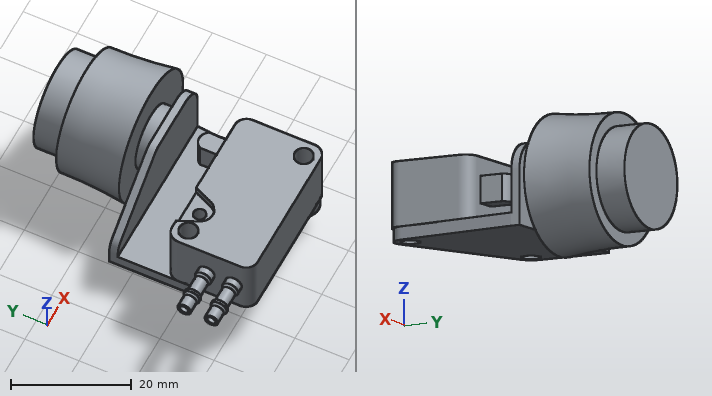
import cadquery as cq
import math


bracket_width = 29.9
bracket_depth = 26.4
base_thickness = 2.25
wall_thickness = 1.6
wall_height = 14.55
wall_left_height = 4.35
wall_slope_end = 14.6
wall_slope_radius = 3.0
wall_right_radius = 4.95
ear_radius = 2.8

housing_width = 27.85
housing_depth = 15.85
housing_height = 11.05
housing_corner_radius = 2.2
housing_top = base_thickness + housing_height
axis_height = 7.75

mount_hole_diameter = 3.3
left_hole = (ear_radius, 13.15)
right_hole = (24.95, ear_radius)

recess_x = 7.45
recess_y = 13.35
recess_radius = 2.4
recess_mouth_width = 7.5
recess_depth = 1.3
pivot_hole_diameter = 2.2

port_ys = (3.4, 8.4)
port_length = 8.4
port_collar_length = 1.35
port_ring_start = 5.05
port_ring_width = 0.55
port_taper = 0.55
port_radius = 1.2
port_collar_radius = 1.5
port_bore_radius = 0.8

plunger_x = 22.7
plunger_width = 3.53
plunger_height = 4.65
plunger_length = 5.1
plunger_crown = 1.0

knob_x = 21.0
stem_radius = 5.85
stem_length = 2.65
grip_front_diameter = 24.0
grip_front_radius = grip_front_diameter / 2
grip_back_radius = 11.2
grip_length = 12.0
grip_hollow = 0.25
cap_radius = 8.85
overall_depth = 46.4


def polar(center, radius, angle):
    """Point on a circle, with the angle in radians from +X."""
    return (center[0] + radius * math.cos(angle), center[1] + radius * math.sin(angle))


def mount_holes():
    """Cutters for both mounting holes, through base and housing."""
    return (
        cq.Workplane("XY")
        .pushPoints([left_hole, right_hole])
        .circle(mount_hole_diameter / 2)
        .extrude(housing_top)
    )


def make_bracket_base():
    """Plate with two round ears joined by straight edges tangent to them."""
    wall_front = bracket_depth - wall_thickness
    front_edge_angle = math.atan2(right_hole[1] - left_hole[1], right_hole[0] - left_hole[0])
    front_normal = front_edge_angle - math.pi / 2

    corner_dx = bracket_width - right_hole[0]
    corner_dy = wall_front - right_hole[1]
    right_normal = math.atan2(corner_dy, corner_dx) - math.acos(ear_radius / math.hypot(corner_dx, corner_dy))

    left_start = -math.pi
    left_middle = (left_start + front_normal) / 2
    right_middle = (front_normal + right_normal) / 2
    return (
        cq.Workplane("XY")
        .moveTo(0, bracket_depth)
        .lineTo(*polar(left_hole, ear_radius, left_start))
        .threePointArc(polar(left_hole, ear_radius, left_middle), polar(left_hole, ear_radius, front_normal))
        .lineTo(*polar(right_hole, ear_radius, front_normal))
        .threePointArc(polar(right_hole, ear_radius, right_middle), polar(right_hole, ear_radius, right_normal))
        .lineTo(bracket_width, wall_front)
        .lineTo(bracket_width, bracket_depth)
        .close()
        .extrude(base_thickness)
    )


def make_bracket_wall():
    """Upright wall with a sloping left edge and rounded upper corners."""
    wall = (
        cq.Workplane("XZ", origin=(0, bracket_depth, 0))
        .polyline([
            (0, 0),
            (bracket_width, 0),
            (bracket_width, wall_height),
            (wall_slope_end, wall_height),
            (0, wall_left_height),
        ])
        .close()
        .extrude(wall_thickness)
    )
    wall = wall.edges("|Y and >X and >Z").fillet(wall_right_radius)
    for corner_x, corner_z in ((wall_slope_end, wall_height), (0, wall_left_height)):
        corner = cq.NearestToPointSelector((corner_x, bracket_depth - wall_thickness / 2, corner_z))
        wall = wall.edges("|Y").edges(corner).fillet(wall_slope_radius)
    return wall


def make_bracket():
    return make_bracket_base().union(make_bracket_wall()).cut(mount_holes())


def make_recess():
    """Cutter for the tapered recess: a round end with two tangent flanks, open at the back."""
    mouth_half = recess_mouth_width / 2
    mouth_dy = housing_depth - recess_y
    tangent_angle = math.atan2(mouth_dy, mouth_half) - math.acos(recess_radius / math.hypot(mouth_half, mouth_dy))
    center = (recess_x, recess_y)
    return (
        cq.Workplane("XY", origin=(0, 0, housing_top - recess_depth))
        .moveTo(recess_x - mouth_half, housing_depth)
        .lineTo(*polar(center, recess_radius, math.pi - tangent_angle))
        .threePointArc((recess_x, recess_y - recess_radius), polar(center, recess_radius, tangent_angle))
        .lineTo(recess_x + mouth_half, housing_depth)
        .close()
        .extrude(recess_depth)
    )


def make_port(port_y):
    """Solid hose port along -X, with a collar at the housing and a ring, both tapered outwards."""
    ring_end = port_ring_start + port_ring_width
    return (
        cq.Workplane("XY", origin=(0, port_y, axis_height))
        .moveTo(0, 0)
        .lineTo(0, port_collar_radius)
        .lineTo(-port_collar_length, port_collar_radius)
        .lineTo(-port_collar_length - port_taper, port_radius)
        .lineTo(-port_ring_start, port_radius)
        .lineTo(-port_ring_start, port_collar_radius)
        .lineTo(-ring_end, port_collar_radius)
        .lineTo(-ring_end - port_taper, port_radius)
        .lineTo(-port_length, port_radius)
        .lineTo(-port_length, 0)
        .close()
        .revolve(360, (0, 0, 0), (1, 0, 0))
    )


def make_port_bore(port_y):
    """Cutter for the bore of a port, ending at the housing side."""
    return (
        cq.Workplane("YZ", origin=(-port_length, port_y, axis_height))
        .circle(port_bore_radius)
        .extrude(port_length)
    )


def make_housing():
    housing = (
        cq.Workplane("XY", origin=(0, 0, base_thickness))
        .rect(housing_width, housing_depth, centered=False)
        .extrude(housing_height)
        .edges("|Z")
        .fillet(housing_corner_radius)
    )
    for port_y in port_ys:
        root = (
            cq.Workplane("YZ", origin=(0, port_y, axis_height))
            .circle(port_collar_radius)
            .extrude(housing_corner_radius)
        )
        housing = housing.union(root).union(make_port(port_y)).cut(make_port_bore(port_y))

    pivot_hole = (
        cq.Workplane("XY", origin=(recess_x, recess_y, base_thickness))
        .circle(pivot_hole_diameter / 2)
        .extrude(housing_height)
    )
    return housing.cut(make_recess()).cut(pivot_hole).cut(mount_holes())


def make_plunger():
    """Flat plunger with a rounded tip, standing on the back of the housing."""
    half_width = plunger_width / 2
    shoulder = plunger_length - plunger_crown
    return (
        cq.Workplane("XY", origin=(plunger_x, housing_depth, axis_height - plunger_height / 2))
        .moveTo(-half_width, 0)
        .lineTo(half_width, 0)
        .lineTo(half_width, shoulder)
        .threePointArc((0, plunger_length), (-half_width, shoulder))
        .close()
        .extrude(plunger_height)
    )


def make_knob():
    """Turned knob on the back of the bracket wall: stem, tapered grip and cap."""
    grip_start = bracket_depth + stem_length
    grip_end = grip_start + grip_length
    grip_middle = (grip_start + grip_end) / 2
    grip_middle_radius = (grip_front_radius + grip_back_radius) / 2 - grip_hollow
    return (
        cq.Workplane("XY", origin=(knob_x, 0, axis_height))
        .moveTo(0, bracket_depth)
        .lineTo(stem_radius, bracket_depth)
        .lineTo(stem_radius, grip_start)
        .lineTo(grip_front_radius, grip_start)
        .threePointArc((grip_middle_radius, grip_middle), (grip_back_radius, grip_end))
        .lineTo(cap_radius, grip_end)
        .lineTo(cap_radius, overall_depth)
        .lineTo(0, overall_depth)
        .close()
        .revolve(360, (0, 0, 0), (0, 1, 0))
    )


bracket = make_bracket()
housing = make_housing()
plunger = make_plunger()
knob = make_knob()

result = cq.Compound.makeCompound([
    bracket.solids().val(),
    housing.solids().val(),
    plunger.val(),
    knob.val(),
])